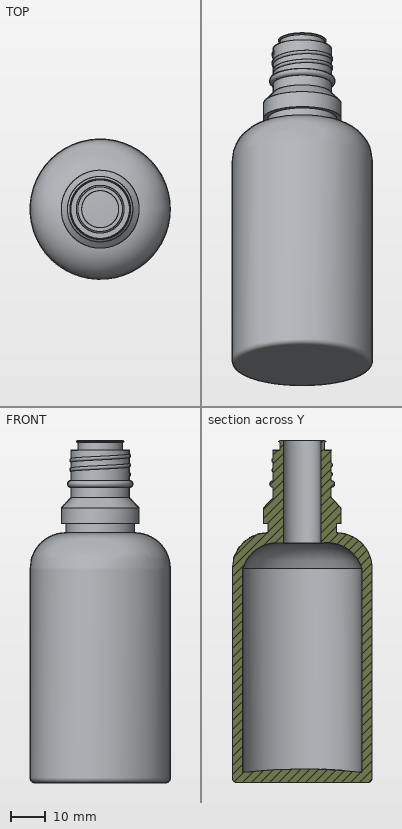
import cadquery as cq
import math

total_height = 98.8
body_radius = 20.25
base_fillet = 1.4
shoulder_bottom = 61.8
shoulder_top = 72.2

undercut_radius = 9.95
collar_radius = 11.25
collar_bottom = 74.8
collar_top = 79.35
neck_radius = 8.45
neck_bottom = 82.3
neck_top = 96.0

mouth_radius = 6.45
lip_radius = 6.9
lip_height = 0.6

bore_radius = 5.35
wall = neck_radius - bore_radius
floor_dome_rise = 1.0

bead_height = 86.25
bead_section_radius = 1.0

thread_start_height = 89.0
thread_pitch = 2.7
thread_turns = 2
thread_section_radius = 0.6
thread_projection = 0.3


def shoulder_arc_middle(center_radius, center_height, across, up):
    """Point at 45 degrees on a shoulder rounded by the given width and height."""
    half_way = math.sqrt(0.5)
    return center_radius + across * half_way, center_height + up * half_way


def make_outside():
    """Bottle envelope from the base to the rim, without bead and thread."""
    shoulder_middle = shoulder_arc_middle(
        undercut_radius,
        shoulder_bottom,
        body_radius - undercut_radius,
        shoulder_top - shoulder_bottom,
    )
    profile = (
        cq.Workplane("XZ")
        .lineTo(body_radius, 0)
        .lineTo(body_radius, shoulder_bottom)
        .threePointArc(shoulder_middle, (undercut_radius, shoulder_top))
        .lineTo(undercut_radius, collar_bottom)
        .lineTo(collar_radius, collar_bottom)
        .lineTo(collar_radius, collar_top)
        .lineTo(neck_radius, neck_bottom)
        .lineTo(neck_radius, neck_top)
        .lineTo(mouth_radius, neck_top)
        .lineTo(mouth_radius, total_height - lip_height)
        .lineTo(lip_radius, total_height - lip_height / 2)
        .lineTo(mouth_radius, total_height)
        .lineTo(0, total_height)
        .close()
    )
    outside = profile.revolve(360, (0, 0, 0), (0, 1, 0))
    return outside.faces("<Z").edges().fillet(base_fillet)


def make_cavity():
    """Inside of the bottle: domed floor, round shoulder and straight bore."""
    inner_radius = body_radius - wall
    inner_shoulder_top = shoulder_top - wall
    shoulder_middle = shoulder_arc_middle(
        bore_radius,
        shoulder_bottom,
        inner_radius - bore_radius,
        inner_shoulder_top - shoulder_bottom,
    )
    dome_radius = (inner_radius**2 + floor_dome_rise**2) / (2 * floor_dome_rise)
    half_inner = inner_radius / 2
    dome_drop = dome_radius - math.sqrt(dome_radius**2 - half_inner**2)
    dome_top = wall + floor_dome_rise
    profile = (
        cq.Workplane("XZ")
        .moveTo(0, dome_top)
        .threePointArc((half_inner, dome_top - dome_drop), (inner_radius, wall))
        .lineTo(inner_radius, shoulder_bottom)
        .threePointArc(shoulder_middle, (bore_radius, inner_shoulder_top))
        .lineTo(bore_radius, total_height)
        .lineTo(0, total_height)
        .close()
    )
    return profile.revolve(360, (0, 0, 0), (0, 1, 0))


def make_bead():
    """Ring of round section centered on the neck surface."""
    ring = cq.Solid.makeTorus(
        neck_radius, bead_section_radius, cq.Vector(0, 0, bead_height), cq.Vector(0, 0, 1)
    )
    return cq.Workplane(obj=ring)


def make_thread():
    """Helical rib of round section, mostly sunk into the neck wall."""
    path_radius = neck_radius + thread_projection - thread_section_radius
    path = cq.Wire.makeHelix(
        thread_pitch,
        thread_pitch * thread_turns,
        path_radius,
        cq.Vector(0, 0, thread_start_height),
    )
    section = cq.Workplane("XZ").center(path_radius, thread_start_height).circle(thread_section_radius)
    return section.sweep(path, isFrenet=True)


result = make_outside().union(make_bead()).union(make_thread()).cut(make_cavity())